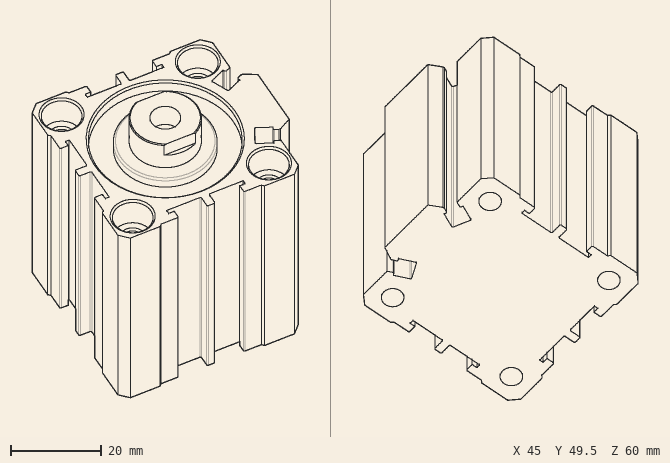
import cadquery as cq
import math

total_height = 60.0
rod_reach = 7.0
housing_height = total_height - rod_reach

half_width = 22.5
corner_chamfer = 2.05
side_relief = 0.55
relief_half_length = 13.0
rail_top = 27.0

side_face = half_width - side_relief
slot_floor = 18.95
slot_lip_depth = 2.05
slot_lip_half_length = 8.15
slot_half_length = 9.55
rib_width = 2.0
edge_radius = 0.3

rail_face_half_width = 7.5
rail_shoulder_half_width = 9.1
rail_shoulder_y = 24.0
tee_angle = 24.8
tee_floor = 19.8
tee_lip = 23.95
tee_half_width = 2.35
tee_neck_half_width = 1.6

bolt_pitch = 33.95
bolt_hole_diameter = 5.0
bolt_seat_chamfer = 0.5
counterbore_diameter = 9.0
counterbore_chamfer = 0.5
counterbore_depth = 7.2

recess_diameter = 34.0
recess_chamfer = 0.5
recess_depth = 3.1
boss_diameter = 23.0
boss_top_radius = 0.5
boss_drop = 0.6

rod_diameter = 16.0
rod_chamfer = 0.25
flat_width = 14.0
flat_height = 3.5
rod_hole_diameter = 6.8
rod_hole_depth = 6.0

boss_top = housing_height - boss_drop


def box(x_min, x_max, y_min, y_max, z_min, z_max):
    """Box between the given coordinates."""
    size = (x_max - x_min, y_max - y_min, z_max - z_min)
    return cq.Workplane("XY", origin=(x_min, y_min, z_min)).box(*size, centered=False)


def mirrored_prism(right_points):
    """Full-height prism from the +X half of an outline that is symmetric about the Y axis."""
    left_points = [(-x, y) for x, y in reversed(right_points)]
    return cq.Workplane("XY").polyline(right_points + left_points).close().extrude(housing_height)


def round_vertical_edges(body, places):
    """Fillet the full-height edges that stand at the given (x, y) places."""
    edges = []
    for x, y in places:
        nearest = cq.selectors.NearestToPointSelector((x, y, housing_height / 2))
        edges.append(body.edges(nearest).val())
    return body.newObject(edges).fillet(edge_radius)


def turned(places, angle):
    """The (x, y) places turned about the Z axis by an angle in degrees."""
    cosine = math.cos(math.radians(angle))
    sine = math.sin(math.radians(angle))
    return [(x * cosine - y * sine, x * sine + y * cosine) for x, y in places]


def plain_block():
    """Square block with chamfered vertical edges."""
    width = 2 * half_width
    block = cq.Workplane("XY").rect(width, width).extrude(housing_height)
    return block.edges("|Z").chamfer(corner_chamfer)


def rail():
    """Block on the +Y side whose outer end narrows to a flat face."""
    return mirrored_prism([
        (rail_shoulder_half_width, 0),
        (rail_shoulder_half_width, rail_shoulder_y),
        (rail_face_half_width, rail_top),
    ])


def tee_slot():
    """T-slot cutter that opens towards +Y, with rounded floor corners and lips."""
    slot = mirrored_prism([
        (tee_half_width, tee_floor),
        (tee_half_width, tee_lip),
        (tee_neck_half_width, tee_lip),
        (tee_neck_half_width, rail_top),
    ])
    corners = []
    for sign in (-1, 1):
        corners.append((sign * tee_half_width, tee_floor))
        corners.append((sign * tee_neck_half_width, tee_lip))
    return round_vertical_edges(slot, corners)


def side_slots():
    """Cutter for the relief and undercut slot of the -Y side, which leaves the middle rib."""
    relief = mirrored_prism([
        (relief_half_length, -half_width),
        (relief_half_length - side_relief, -side_face),
    ])
    mouth = box(-slot_lip_half_length, slot_lip_half_length, -side_face, -slot_floor, 0, housing_height)
    undercut_y = slot_lip_depth - side_face
    undercut = box(-slot_half_length, slot_half_length, undercut_y, -slot_floor, 0, housing_height)
    rib = box(-rib_width / 2, rib_width / 2, -side_face, -slot_floor, 0, housing_height)
    return relief.union(mouth).union(undercut).cut(rib)


def side_slot_edges():
    """Places of the rounded edges of the -Y side: rib roots, rib tips and slot lips."""
    places = []
    for sign in (-1, 1):
        places.append((sign * rib_width / 2, -slot_floor))
        places.append((sign * rib_width / 2, -side_face))
        places.append((sign * slot_lip_half_length, -side_face))
    return places


def bolt_hole(x, y):
    """Through hole with a chamfered counterbore at the top and a chamfered seat."""
    hole_radius = bolt_hole_diameter / 2
    bore_radius = counterbore_diameter / 2
    seat_z = housing_height - counterbore_depth
    profile = [
        (0, 0),
        (hole_radius, 0),
        (hole_radius, seat_z - bolt_seat_chamfer),
        (hole_radius + bolt_seat_chamfer, seat_z),
        (bore_radius, seat_z),
        (bore_radius, housing_height - counterbore_chamfer),
        (bore_radius + counterbore_chamfer, housing_height),
        (0, housing_height),
    ]
    cutter = cq.Workplane("XZ").polyline(profile).close().revolve(360, (0, 0, 0), (0, 1, 0))
    return cutter.translate((x, y, 0))


def end_recess():
    """Chamfered round recess in the top face, around the boss."""
    floor_z = housing_height - recess_depth
    recess = cq.Workplane("XY", origin=(0, 0, floor_z)).circle(recess_diameter / 2).extrude(recess_depth)
    mouth_radius = recess_diameter / 2 + recess_chamfer
    mouth = cq.Workplane("XY", origin=(0, 0, housing_height)).circle(mouth_radius)
    mouth = mouth.extrude(-recess_chamfer, taper=45)
    boss = cq.Workplane("XY", origin=(0, 0, floor_z)).circle(boss_diameter / 2).extrude(boss_top - floor_z)
    boss = boss.faces(">Z").edges().fillet(boss_top_radius)
    return recess.union(mouth).cut(boss)


def make_housing():
    body = plain_block().union(rail())
    for angle in (-tee_angle, tee_angle):
        body = body.cut(tee_slot().rotate((0, 0, 0), (0, 0, 1), angle))
    for angle in (-90, 0, 90):
        body = body.cut(side_slots().rotate((0, 0, 0), (0, 0, 1), angle))
        body = round_vertical_edges(body, turned(side_slot_edges(), angle))
    for x in (-bolt_pitch / 2, bolt_pitch / 2):
        for y in (-bolt_pitch / 2, bolt_pitch / 2):
            body = body.cut(bolt_hole(x, y))
    return body.cut(end_recess())


def make_piston_rod():
    """Rod end that stands on the boss, with two wrench flats and a blind hole."""
    rod = cq.Workplane("XY", origin=(0, 0, boss_top)).circle(rod_diameter / 2)
    rod = rod.extrude(total_height - boss_top).faces(">Z").edges().chamfer(rod_chamfer)
    flat_z = total_height - flat_height
    rod_radius = rod_diameter / 2
    for side in (-1, 1):
        inner_x, outer_x = sorted((side * flat_width / 2, side * rod_radius))
        rod = rod.cut(box(inner_x, outer_x, -rod_radius, rod_radius, flat_z, total_height))
    return rod.faces(">Z").workplane(origin=(0, 0, total_height)).hole(rod_hole_diameter, rod_hole_depth)


housing = make_housing()
piston_rod = make_piston_rod()
result = cq.Compound.makeCompound([housing.val(), piston_rod.val()])